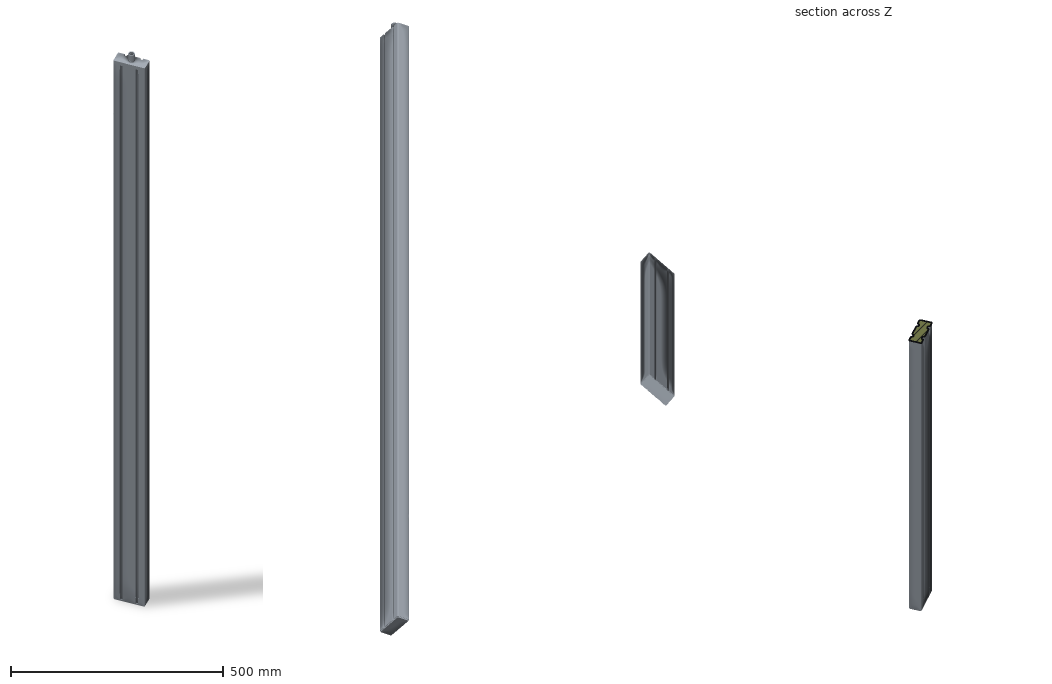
import cadquery as cq

width = 80.0
depth = 32.01
total_length = 1671.0

connector_length = 21.0
connector_diameter = 16.0
bore_diameter = 12.0
bore_depth = 12.0
pin_diameter = 1.5
pin_circle_radius = 3.0
pin_count = 4
pin_recess = 2.0

tab_width = 6.2
tab_height = 4.0
tab_front_y = -8.0
tab_back_y = 12.0

housing_top = total_length - connector_length
edge_radius = 2.0
foot_height = 3.0
foot_inset = 1.0

groove_spacing = 40.0
groove_depth = 5.0
groove_width = 7.0
groove_end_width = 6.2
groove_end_length = 22.0
front_groove_top_gap = 10.0


def prism(size_x, size_y, bottom, top):
    """Upright box centered on the Z axis, between two heights."""
    return cq.Workplane("XY", origin=(0, 0, bottom)).rect(size_x, size_y).extrude(top - bottom)


def cylinder(diameter, bottom, top):
    """Upright cylinder on the Z axis, between two heights."""
    return cq.Workplane("XY", origin=(0, 0, bottom)).circle(diameter / 2).extrude(top - bottom)


def make_housing():
    """Long bar and its inset foot, both with rounded upright edges."""
    bar = prism(width, depth, foot_height, housing_top)
    foot = prism(width - 2 * foot_inset, depth - 2 * foot_inset, 0, foot_height)
    return bar.edges("|Z").fillet(edge_radius).union(foot.edges("|Z").fillet(edge_radius))


def make_groove(groove_top):
    """Cutter for one groove, from the top of the foot up to the given height."""
    narrow = prism(groove_end_width, groove_depth, foot_height, groove_top)
    wide = prism(groove_width, groove_depth, groove_end_length, housing_top - groove_end_length)
    return narrow.union(wide)


def cut_grooves(body):
    """Cut a pair of grooves into each broad face; only the back pair is open at the top."""
    center_y = (depth - groove_depth) / 2
    front_groove = make_groove(housing_top - front_groove_top_gap)
    back_groove = make_groove(housing_top)
    for x in (-groove_spacing / 2, groove_spacing / 2):
        body = body.cut(front_groove.translate((x, -center_y, 0)))
        body = body.cut(back_groove.translate((x, center_y, 0)))
    return body


def make_connector():
    """Tube with a blind bore, its contact pins and the locating tab at its foot."""
    tube = cylinder(connector_diameter, housing_top, total_length)
    tab = prism(tab_width, tab_back_y - tab_front_y, housing_top, housing_top + tab_height)
    tab = tab.translate((0, (tab_front_y + tab_back_y) / 2, 0))
    bore_floor = total_length - bore_depth
    pins = (
        cq.Workplane("XY", origin=(0, 0, bore_floor))
        .polarArray(pin_circle_radius, 0, 360, pin_count)
        .circle(pin_diameter / 2)
        .extrude(bore_depth - pin_recess)
    )
    return tube.union(tab).cut(cylinder(bore_diameter, bore_floor, total_length)).union(pins)


result = cut_grooves(make_housing()).union(make_connector())